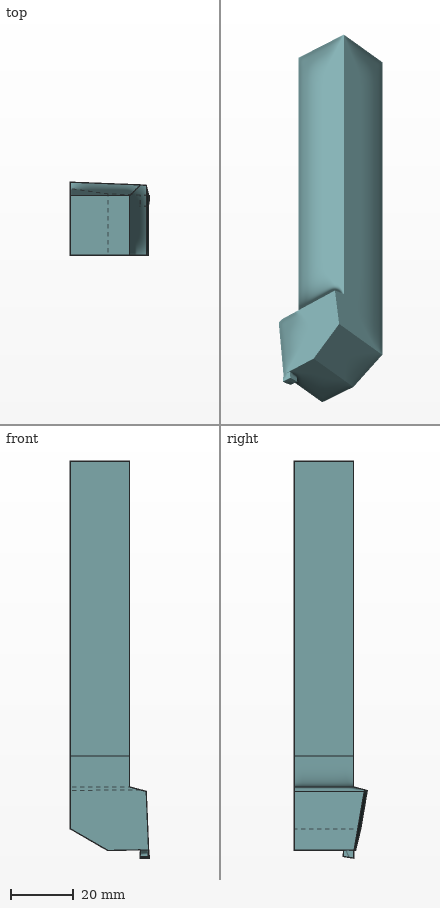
import cadquery as cq
import math

shank_side = 19.05
overall_height = 127.02
shank_bottom = 32.7

shoulder_z = 22.85
shoulder_angle = 15.0
head_reach_x = 24.4
head_reach_y = 23.43
head_bottom_left = 2.45
head_bottom_slope = 1.2
side_flare_angle = 2.3
back_taper_angle = 9.7
back_skew_angle = 2.3
corner_cut_width = 12.1
corner_cut_angle = 30.0

insert_right = 25.4
insert_width = 3.1
insert_neck_inset = 0.2
insert_back = 19.15
insert_length = 3.5
insert_bulge_y = 18.5
insert_flank_radius = 10.0
insert_front_lean = 4.0
insert_clearance_angle = 9.0

oversize = 60.0


def rise(run, angle):
    """Height gained over a horizontal run at an angle in degrees."""
    return run * math.tan(math.radians(angle))


def head_bottom_z(x):
    """Height of the head's bottom face, which climbs gently to the right of the corner cut."""
    return head_bottom_left + rise(x - corner_cut_width, head_bottom_slope)


def make_shank():
    height = overall_height - shank_bottom
    return (
        cq.Workplane("XY", origin=(0, 0, shank_bottom))
        .rect(shank_side, shank_side, centered=False)
        .extrude(height)
    )


def head_front_prism():
    """Outline in X and Z: corner cut, sloping bottom, flared side and falling shoulder."""
    shoulder_tip_z = shoulder_z - rise(head_reach_x - shank_side, shoulder_angle)
    side_height = shoulder_tip_z - head_bottom_left
    bottom_right = head_reach_x + rise(side_height, side_flare_angle)
    outline = [
        (0, shank_bottom),
        (0, head_bottom_left + rise(corner_cut_width, corner_cut_angle)),
        (corner_cut_width, head_bottom_left),
        (bottom_right, head_bottom_z(bottom_right)),
        (head_reach_x, shoulder_tip_z),
        (shank_side, shoulder_z),
        (shank_side, shank_bottom),
    ]
    return cq.Workplane("XZ").polyline(outline).close().extrude(-oversize)


def head_shoulder_prism():
    """Outline in Y and Z: the rear shoulder falls away from the back of the shank."""
    outline = [
        (0, 0),
        (oversize, 0),
        (oversize, shoulder_z - rise(oversize - shank_side, shoulder_angle)),
        (shank_side, shoulder_z),
        (shank_side, shank_bottom),
        (0, shank_bottom),
    ]
    return cq.Workplane("YZ").polyline(outline).close().extrude(oversize)


def head_back_prism():
    """Everything in front of the back face, which leans in downward and is skewed about Z."""
    back_top_z = shoulder_z - rise(head_reach_y - shank_side, shoulder_angle)
    outline = [
        (-oversize, 0),
        (head_reach_y - rise(back_top_z, back_taper_angle), 0),
        (head_reach_y + rise(shank_bottom - back_top_z, back_taper_angle), shank_bottom),
        (-oversize, shank_bottom),
    ]
    prism = cq.Workplane("YZ").polyline(outline).close().extrude(2 * oversize, both=True)
    pivot = (0, head_reach_y, 0)
    return prism.rotate(pivot, (0, head_reach_y, 1), -back_skew_angle)


def make_head():
    return head_front_prism().intersect(head_shoulder_prism()).intersect(head_back_prism())


def insert_front_prism():
    """Outline in X and Z: widest at the cutting edge, topped by the head's sloping bottom."""
    left = insert_right - insert_width
    top_left = left + insert_neck_inset
    top_right = insert_right - insert_neck_inset
    outline = [
        (left, 0),
        (insert_right, 0),
        (top_right, head_bottom_z(top_right)),
        (top_left, head_bottom_z(top_left)),
    ]
    return cq.Workplane("XZ").polyline(outline).close().extrude(-oversize)


def insert_side_prism():
    """Outline in Y and Z: upright rake face, leaning front face and clearance underneath."""
    front = insert_back - insert_length
    front_bottom_z = rise(insert_length, insert_clearance_angle)
    outline = [
        (insert_back, 0),
        (insert_back, shank_bottom),
        (front + rise(shank_bottom - front_bottom_z, insert_front_lean), shank_bottom),
        (front, front_bottom_z),
    ]
    return cq.Workplane("YZ").polyline(outline).close().extrude(oversize)


def make_insert():
    """The right-hand flank is bowed by a large cylinder that touches it at the bulge."""
    flank = (
        cq.Workplane("XY")
        .center(insert_right - insert_flank_radius, insert_bulge_y)
        .circle(insert_flank_radius)
        .extrude(shank_bottom)
    )
    return insert_front_prism().intersect(insert_side_prism()).intersect(flank)


shank = make_shank()
head = make_head()
insert = make_insert()
result = cq.Compound.makeCompound([shank.val(), head.val(), insert.val()])